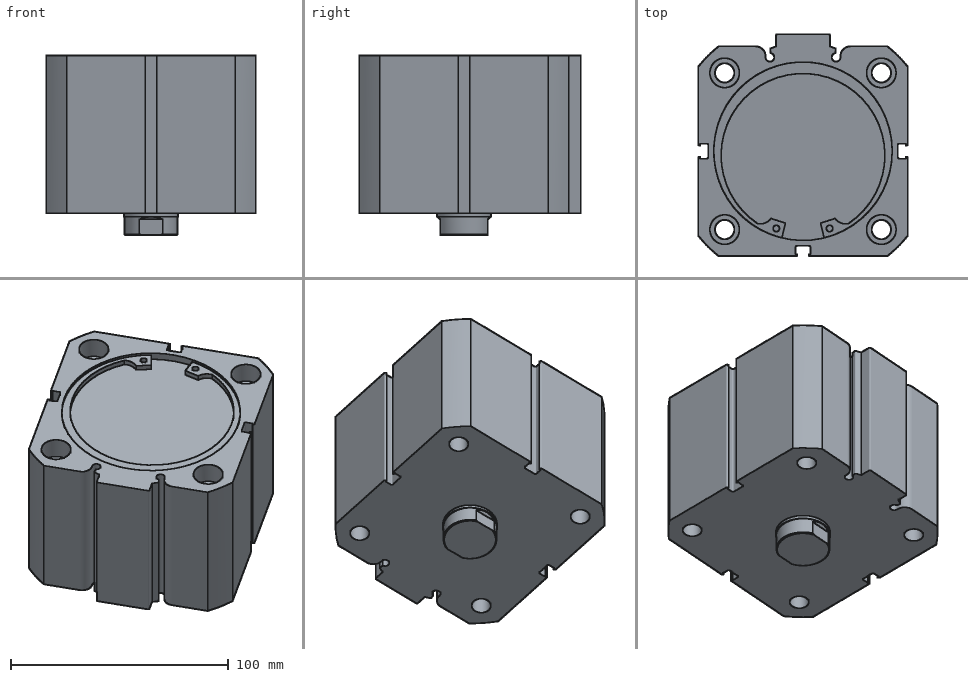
import cadquery as cq
import math

body_width = 96.5
body_height = 72.5
corner_radius = 61.9
total_depth = 102.0
rail_width = 24.9
rail_edge_radius = 0.6

hole_spacing = 72.0
hole_diameter = 8.8
counterbore_diameter = 13.6
counterbore_depth = 10.2

slot_width = 6.7
slot_throat = 5.1
slot_depth = 4.7
slot_lip = 0.9
slot_back_radius = 0.6

groove_edge_radius = 4.7
groove_radius = 1.9
groove_center_x = 15.2
groove_center_y = 43.1
groove_end_angle = 82.0
hook_tip_x = 15.2
hook_tip_y = 47.1
hook_tip_radius = 0.4

bore_diameter = 82.0
ring_recess = 1.2
ring_thickness = 2.5
cover_thickness = 10.2
ring_inner_radius = 37.6
ring_inner_offset = 1.9
ear_valley_start_x = 20.8
ear_valley_mid = (18.4, -33.3)
ear_shoulder = (14.7, -30.9)
ear_tip = (8.1, -33.0)
ear_end_x = 9.7
ear_hole_center = (12.2, -35.5)
ear_hole_diameter = 3.0

rod_diameter = 25.0
rod_projection = 10.0
rod_full_length = 1.6
nose_diameter = 24.5
nose_flat_width = 22.0
nose_end_chamfer = 0.4

half_width = body_width / 2
half_rail = rail_width / 2
rail_top_y = total_depth - half_width
bore_radius = bore_diameter / 2
ring_top_z = body_height - ring_recess
cover_top_z = ring_top_z - ring_thickness
cover_bottom_z = cover_top_z - cover_thickness
rod_radius = rod_diameter / 2
nose_radius = nose_diameter / 2


def on_circle(radius, x, center_y=0.0):
    """Point at x on the -Y side of a circle centred on the Y axis."""
    return x, center_y - math.sqrt(radius**2 - x**2)


def slot_cutter():
    """Sensor slot opening through the -Y face, with rounded lips at its mouth."""
    lip_radius = (slot_width - slot_throat) / 2
    face_y = -half_width
    half_slot = slot_width / 2
    half_throat = slot_throat / 2
    lip_arc_offset = lip_radius * (1 - math.sqrt(0.5))
    lip_mid = (half_throat + lip_arc_offset, face_y + lip_arc_offset)
    cavity = (
        cq.Workplane("XY")
        .center(0, face_y + (slot_lip + slot_depth) / 2)
        .rect(slot_width, slot_depth - slot_lip)
        .extrude(body_height)
        .edges("|Z and >Y")
        .fillet(slot_back_radius)
    )
    mouth = (
        cq.Workplane("XY")
        .moveTo(half_slot, face_y)
        .threePointArc(lip_mid, (half_throat, face_y + lip_radius))
        .lineTo(half_throat, face_y + slot_lip)
        .lineTo(-half_throat, face_y + slot_lip)
        .lineTo(-half_throat, face_y + lip_radius)
        .threePointArc((-lip_mid[0], lip_mid[1]), (-half_slot, face_y))
        .close()
        .extrude(body_height)
    )
    return cavity.union(mouth)


def groove_cutter():
    """Undercut groove on the +X side of the port rail, with a hooked inner wall."""
    outer_x = groove_center_x + groove_radius
    edge_center_x = outer_x + groove_edge_radius
    edge_center_y = half_width - groove_edge_radius
    diagonal = math.sqrt(0.5) * groove_edge_radius
    hook_angle = math.radians(groove_end_angle)
    hook_foot = (
        groove_center_x - groove_radius * math.cos(hook_angle),
        groove_center_y + groove_radius * math.sin(hook_angle),
    )
    groove_bottom = (groove_center_x, groove_center_y - groove_radius)
    return (
        cq.Workplane("XY")
        .moveTo(edge_center_x, half_width)
        .threePointArc((edge_center_x - diagonal, edge_center_y + diagonal), (outer_x, edge_center_y))
        .lineTo(outer_x, groove_center_y)
        .threePointArc(groove_bottom, hook_foot)
        .lineTo(hook_tip_x, hook_tip_y)
        .lineTo(half_rail, half_width)
        .close()
        .extrude(body_height)
        .edges(cq.selectors.NearestToPointSelector((hook_tip_x, hook_tip_y, body_height / 2)))
        .fillet(hook_tip_radius)
    )


def make_rail():
    """Port rail standing on the +Y face over the full height."""
    rail_root_y = groove_center_y + groove_radius
    return (
        cq.Workplane("XY")
        .center(0, (rail_root_y + rail_top_y) / 2)
        .rect(rail_width, rail_top_y - rail_root_y)
        .extrude(body_height)
        .edges("|Z and >Y")
        .fillet(rail_edge_radius)
    )


def make_housing():
    square = cq.Workplane("XY").rect(body_width, body_width).extrude(body_height)
    housing = square.intersect(cq.Workplane("XY").circle(corner_radius).extrude(body_height))

    groove = groove_cutter()
    housing = housing.cut(groove).cut(groove.mirror("YZ")).union(make_rail())

    slot = slot_cutter()
    for angle in (-90, 0, 90):
        housing = housing.cut(slot.rotate((0, 0, 0), (0, 0, 1), angle))

    housing = (
        housing.faces(">Z")
        .workplane(origin=(0, 0, body_height))
        .rect(hole_spacing, hole_spacing, forConstruction=True)
        .vertices()
        .cboreHole(hole_diameter, counterbore_diameter, counterbore_depth)
    )

    head_bore = (
        cq.Workplane("XY", origin=(0, 0, cover_bottom_z))
        .circle(bore_radius)
        .extrude(body_height - cover_bottom_z)
    )
    rod_bore = cq.Workplane("XY").circle(rod_radius).extrude(cover_bottom_z)
    return housing.cut(head_bore).cut(rod_bore)


def make_cover():
    """Plain disc that closes the bore below the retaining ring."""
    return cq.Workplane("XY", origin=(0, 0, cover_bottom_z)).circle(bore_radius).extrude(cover_thickness)


def make_retaining_ring():
    """Open ring, widest at +Y, with two drilled ears beside its gap at -Y."""
    valley_start = on_circle(ring_inner_radius, ear_valley_start_x, -ring_inner_offset)
    ear_end = on_circle(bore_radius, ear_end_x)

    def mirrored(point):
        return -point[0], point[1]

    ring = (
        cq.Workplane("XY", origin=(0, 0, cover_top_z))
        .moveTo(*ear_end)
        .threePointArc((0, bore_radius), mirrored(ear_end))
        .lineTo(*mirrored(ear_tip))
        .lineTo(*mirrored(ear_shoulder))
        .threePointArc(mirrored(ear_valley_mid), mirrored(valley_start))
        .threePointArc((0, ring_inner_radius - ring_inner_offset), valley_start)
        .threePointArc(ear_valley_mid, ear_shoulder)
        .lineTo(*ear_tip)
        .close()
        .extrude(ring_thickness)
    )
    ear_holes = (
        cq.Workplane("XY", origin=(0, 0, cover_top_z))
        .pushPoints([ear_hole_center, mirrored(ear_hole_center)])
        .circle(ear_hole_diameter / 2)
        .extrude(ring_thickness)
    )
    return ring.cut(ear_holes)


def make_rod():
    """Round rod reaching up to the cover, with a reduced nose that carries two wrench flats."""
    shank = (
        cq.Workplane("XY", origin=(0, 0, -rod_full_length))
        .circle(rod_radius)
        .extrude(rod_full_length + cover_bottom_z)
    )
    nose = (
        cq.Workplane("XY", origin=(0, 0, -rod_projection))
        .circle(nose_radius)
        .extrude(rod_projection - rod_full_length)
        .faces("<Z")
        .chamfer(nose_end_chamfer)
    )
    half_flat = nose_flat_width / 2
    run_out = nose_radius - half_flat
    flat_cutter = (
        cq.Workplane("YZ")
        .moveTo(half_flat, -rod_projection)
        .lineTo(half_flat, -rod_full_length - run_out)
        .lineTo(nose_radius, -rod_full_length)
        .lineTo(nose_radius, -rod_projection)
        .close()
        .extrude(nose_radius, both=True)
    )
    nose = nose.cut(flat_cutter).cut(flat_cutter.mirror("XZ"))
    return shank.union(nose)


housing = make_housing()
cover = make_cover()
retaining_ring = make_retaining_ring()
rod = make_rod()

result = cq.Compound.makeCompound([housing.val(), cover.val(), retaining_ring.val(), rod.val()])